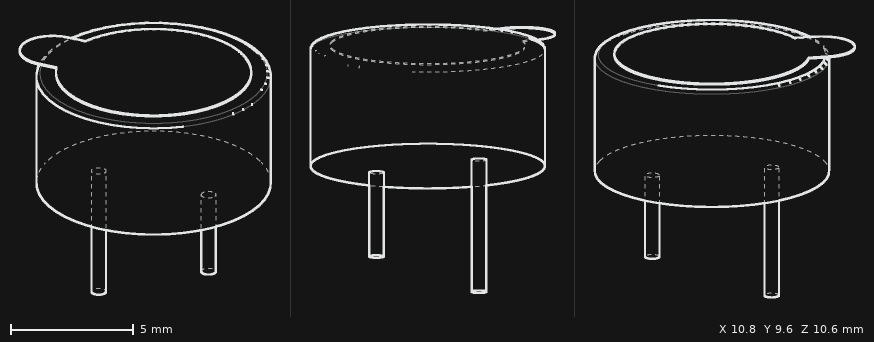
import cadquery as cq

body_diameter = 9.6
body_height = 5.0
rim_fillet = 0.15

label_thickness = 0.05
label_diameter = 8.0
tab_width = 2.7
tab_reach = 5.95

pin_diameter = 0.6
pin_spacing = 5.0
long_pin_length = 5.5
short_pin_length = 3.5


def make_body():
    body = cq.Workplane("XY").circle(body_diameter / 2).extrude(body_height)
    return body.faces(">Z").edges().fillet(rim_fillet)


def make_label():
    top = cq.Workplane("XY").workplane(offset=body_height)
    disc = top.circle(label_diameter / 2).extrude(label_thickness)
    tab_radius = tab_width / 2
    tab_center = tab_radius - tab_reach
    tab = (
        top.moveTo(0, tab_radius)
        .lineTo(tab_center, tab_radius)
        .threePointArc((-tab_reach, 0), (tab_center, -tab_radius))
        .lineTo(0, -tab_radius)
        .close()
        .extrude(label_thickness)
    )
    return disc.union(tab)


def make_pin(x, length):
    return cq.Workplane("XY").center(x, 0).circle(pin_diameter / 2).extrude(-length)


result = (
    make_body()
    .union(make_label())
    .union(make_pin(-pin_spacing / 2, long_pin_length))
    .union(make_pin(pin_spacing / 2, short_pin_length))
)